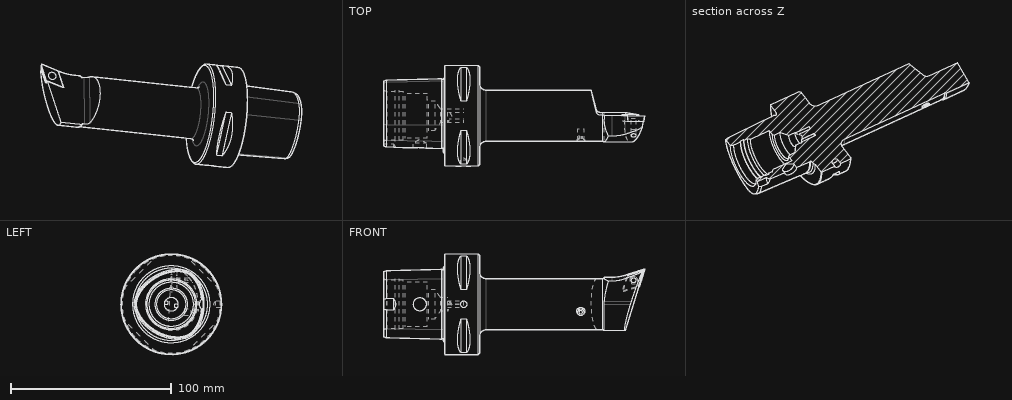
import cadquery as cq
import math


taper_length = 38.0
polygon_radius_front = 21.9
polygon_taper = 1 / 40
lobe_height = 1.3
lobe_half_angle = math.radians(25)
polygon_spline_steps = 8
polygon_tail_chamfer_length = 1.8
polygon_tail_chamfer_depth = 0.6
polygon_full_end_x = -2.0
polygon_front_step = 0.6
flare_start_radius = 22.6
flare_end_radius = 24.1
flare_length = 0.8

mouth_radius = 15.9
mouth_chamfer_width = 0.8
mouth_chamfer_length = 2.0
bore_radius = mouth_radius - mouth_chamfer_width
bore_groove_start = 7.1
bore_groove_width = 2.4
bore_groove_depth = 0.6
bore_depth = 12.0
inner_bore_radius = 13.8
inner_bore_depth = 27.0
feed_radius = 10.1
feed_chamfer = 1.0
feed_depth = 32.0
feed_tip_radius = 4.3
feed_tip_depth = 40.0
channel_radius = 1.2
channel_y = 3.1
channel_z = 0.9
channel_length = 10.0
drill_half_angle = math.radians(59)

key_radius = 4.2
key_length = 6.3
key_axis_y = -21.8
cross_hole_radius = 4.1
cross_hole_from_tail = 22.6
cross_hole_bottom_y = -17.0
flange_hole_radius = 2.0
flange_hole_depth = 4.0

flange_radius = 31.5
flange_width = 22.0
flange_rear_chamfer = 0.4
flange_front_chamfer = 1.0
gripper_x = 12.0
gripper_floor_distance = 27.8
gripper_floor_width = 3.7
gripper_side_angle = math.radians(30)

bar_radius = 16.0
bar_fillet = 4.0
head_start = 98.6

head_radius = 16.5
head_flat_height = 1.7
head_crown_radius = 23.0
head_step = 0.4

tip_x = 125.2
tip_z = 22.2
edge_angle = math.radians(17.5)
insert_edge = 11.6
insert_thickness = 3.7
insert_relief = 7.0
insert_nose_radius = 0.4
insert_overhang = 0.4

head_top_z = 16.85
rise_start_x = 104.6
rise_end_x = 112.5
top_clearance = math.radians(10.5)
end_clearance = math.radians(6)

chip_floor_tilt = 3.1
chip_wall_angle = math.radians(14)
chip_wall_foot_x = 95.1
chip_floor_fillet = 3.0

insert_screw_radius = 1.5
insert_screw_head_radius = 2.4
insert_screw_head_height = 1.6
insert_screw_bottom_y = -8.5
plug_x = 85.0
plug_z = -5.0
plug_radius = 2.0
plug_countersink = 0.5
plug_top_y = -14.2
plug_length = 6.0
plug_socket_across_corners = 2.3
plug_socket_depth = 2.0

cutter_margin = 1.0
clear = 40.0


def revolved(points):
    """Solid of revolution about the tool axis from (x, radius) points."""
    return cq.Workplane("XY").polyline(points).close().revolve(360, (0, 0, 0), (1, 0, 0))


def polygon_wire(x, radius):
    """Three-lobed curve of constant width, split where each lobe meets the flatter flanks."""
    def point(angle):
        support = radius + lobe_height * math.cos(3 * angle)
        slope = -3 * lobe_height * math.sin(3 * angle)
        y = support * math.cos(angle) - slope * math.sin(angle)
        z = support * math.sin(angle) + slope * math.cos(angle)
        return cq.Vector(x, y, z)

    edges = []
    for lobe in range(3):
        lobe_center = lobe * math.radians(120)
        lobe_start = lobe_center - lobe_half_angle
        lobe_end = lobe_center + lobe_half_angle
        next_lobe_start = lobe_start + math.radians(120)
        for start, end in ((lobe_start, lobe_end), (lobe_end, next_lobe_start)):
            step = (end - start) / polygon_spline_steps
            points = [point(start + i * step) for i in range(polygon_spline_steps + 1)]
            edges.append(cq.Edge.makeSpline(points))
    return cq.Wire.assembleEdges(edges)


def polygon_radius(x):
    return polygon_radius_front + x * polygon_taper


def polygon_frustum(x0, radius0, x1, radius1):
    wires = [polygon_wire(x0, radius0), polygon_wire(x1, radius1)]
    return cq.Workplane(cq.Solid.makeLoft(wires, True))


def cone_bottom_drill(radius, length):
    """Drill pointing along +X, shoulder at X = 0 and body reaching back by `length`."""
    return revolved([(-length, 0), (-length, radius), (0, radius), (radius / math.tan(drill_half_angle), 0)])


def side_drill(radius, x, shoulder_y):
    """Cone-ended drill entering from the -Y side."""
    return cone_bottom_drill(radius, clear).rotate((0, 0, 0), (0, 0, 1), 90).translate((x, shoulder_y, 0))


def drawn_prism(outline, drift):
    """XZ outline at Y = 0 swept across the head; `drift` is its (x, z) shift per unit of -Y."""
    wire = outline.close().val()
    sweep = cq.Vector(drift[0], -1, drift[1]) * (2 * clear)
    return cq.Workplane(cq.Solid.extrudeLinear(wire, [], sweep)).translate(sweep * -0.5)



def insert_outline():
    """Rhombus with its 55 degree corner at the tip, on the rake plane Y = 0."""
    along_top = cq.Vector(-math.cos(edge_angle), -math.sin(edge_angle)) * insert_edge
    along_end = cq.Vector(-math.sin(edge_angle), -math.cos(edge_angle)) * insert_edge
    tip = cq.Vector(tip_x, tip_z)
    corners = [tip, tip + along_top, tip + along_top + along_end, tip + along_end]
    return cq.Workplane("XZ").polyline([(c.x, c.y) for c in corners]).close()


def insert_blank():
    return insert_outline().extrude(insert_thickness, taper=insert_relief)


half_diagonal = insert_edge * (math.cos(edge_angle) + math.sin(edge_angle)) / 2
insert_center_x = tip_x - half_diagonal
insert_center_z = tip_z - half_diagonal


def make_insert_screw():
    head_bottom = -insert_screw_head_height
    profile = [
        (0, 0), (insert_screw_head_radius, 0), (insert_screw_radius, head_bottom),
        (insert_screw_radius, insert_screw_bottom_y), (0, insert_screw_bottom_y),
    ]
    screw = cq.Workplane("XY").polyline(profile).close().revolve(360, (0, 0, 0), (0, 1, 0))
    return screw.translate((insert_center_x, 0, insert_center_z))


def make_insert(screw):
    nose = cq.selectors.NearestToPointSelector((tip_x, -insert_thickness / 2, tip_z))
    return insert_blank().edges("not #Y").edges(nose).fillet(insert_nose_radius).cut(screw)



def make_plug():
    plug = cq.Workplane("XZ", origin=(plug_x, plug_top_y, plug_z)).circle(plug_radius).extrude(-plug_length)
    socket = (
        cq.Workplane("XZ", origin=(plug_x, plug_top_y, plug_z))
        .polygon(6, plug_socket_across_corners)
        .extrude(-plug_socket_depth)
    )
    return plug.cut(socket)


def plug_hole():
    bottom_y = plug_top_y + plug_length
    hole = cq.Workplane("XZ", origin=(plug_x, bottom_y, plug_z)).circle(plug_radius).extrude(clear)
    surface_y = -math.sqrt(bar_radius**2 - plug_z**2)
    countersink = cq.Solid.makeCone(
        plug_radius + 2 * plug_countersink, plug_radius, 2 * plug_countersink,
        pnt=cq.Vector(plug_x, surface_y - plug_countersink, plug_z), dir=cq.Vector(0, 1, 0),
    )
    return hole.union(cq.Workplane(countersink))



def coupling():
    tail = -taper_length
    chamfer_end = tail + polygon_tail_chamfer_length
    tail_radius = polygon_radius(tail) - polygon_tail_chamfer_depth
    chamfer_end_radius = polygon_radius(chamfer_end)
    full_radius = polygon_radius(polygon_full_end_x)
    lead = polygon_frustum(tail, tail_radius, chamfer_end, chamfer_end_radius)
    body = polygon_frustum(chamfer_end, chamfer_end_radius, polygon_full_end_x, full_radius)
    relief = polygon_frustum(polygon_full_end_x, full_radius, -flare_length, full_radius - polygon_front_step)
    flare = revolved([
        (-flare_length, 0), (-flare_length, flare_start_radius), (0, flare_end_radius), (0, 0),
    ])
    return body.union(lead).union(relief).union(flare)


def flange_and_bar():
    return (
        cq.Workplane("XY")
        .moveTo(0, 0)
        .lineTo(0, flange_radius - flange_rear_chamfer)
        .lineTo(flange_rear_chamfer, flange_radius)
        .lineTo(flange_width - flange_front_chamfer, flange_radius)
        .lineTo(flange_width, flange_radius - flange_front_chamfer)
        .lineTo(flange_width, bar_radius + bar_fillet)
        .radiusArc((flange_width + bar_fillet, bar_radius), -bar_fillet)
        .lineTo(head_start, bar_radius)
        .lineTo(head_start, 0)
        .close()
        .revolve(360, (0, 0, 0), (1, 0, 0))
    )


def gripper_slots():
    """Four trapezoidal slots cut straight across the flange rim."""
    depth = flange_radius - gripper_floor_distance + cutter_margin
    half_floor = gripper_floor_width / 2
    half_mouth = half_floor + depth * math.tan(gripper_side_angle)
    slot = (
        cq.Workplane("XZ", origin=(gripper_x, flange_radius, gripper_floor_distance))
        .polyline([(-half_floor, 0), (half_floor, 0), (half_mouth, depth), (-half_mouth, depth)])
        .close()
        .extrude(2 * flange_radius)
    )
    slots = cq.Workplane()
    for angle in (45, 135, 225, 315):
        slots = slots.add(slot.rotate((0, 0, 0), (1, 0, 0), angle))
    return slots.combine()


def head_section():
    crown_y = head_crown_radius - head_radius
    crown_z = head_flat_height + head_crown_radius
    return (
        cq.Workplane("YZ", origin=(head_start, 0, 0))
        .moveTo(-head_radius, 0)
        .threePointArc((0, -head_radius), (head_radius, 0))
        .lineTo(crown_y, crown_z)
        .radiusArc((-head_radius, head_flat_height), -head_crown_radius)
        .close()
        .extrude(clear)
    )


def head_shoulder():
    """45 degree cone that leads from the bar up to the larger head."""
    foot_radius = bar_radius - head_step
    return revolved([
        (head_start, 0), (head_start, foot_radius), (head_start + clear, foot_radius + clear),
        (head_start + clear, 0),
    ])


def head_top():
    """Flat top that curves up into the slope beside the cutting edge, leaning away towards -Y."""
    rise_radius = (rise_end_x - rise_start_x) / math.sin(edge_angle)
    rise_end_z = head_top_z + rise_radius * (1 - math.cos(edge_angle))
    end_x = rise_end_x + clear
    outline = (
        cq.Workplane("XZ")
        .moveTo(head_start - cutter_margin, head_top_z)
        .lineTo(rise_start_x, head_top_z)
        .radiusArc((rise_end_x, rise_end_z), -rise_radius)
        .lineTo(end_x, rise_end_z + clear * math.tan(edge_angle))
        .lineTo(end_x, -clear)
        .lineTo(head_start - cutter_margin, -clear)
    )
    return drawn_prism(outline, (0, -math.tan(top_clearance)))


def head_end():
    """Sloping end just behind the insert, leaning away towards -Y."""
    def end_x(z):
        return tip_x - insert_overhang / math.cos(edge_angle) + (z - tip_z) * math.tan(edge_angle)

    outline = cq.Workplane("XZ").polyline([
        (0, -clear), (end_x(-clear), -clear), (end_x(clear), clear), (0, clear),
    ])
    return drawn_prism(outline, (-math.tan(end_clearance) / math.cos(edge_angle), 0))


def chip_clearance():
    """Step down to the rake side, its floor tilted about the level of the tip."""
    wall_top_x = chip_wall_foot_x - clear * math.tan(chip_wall_angle)
    end_x = tip_x + clear
    return (
        cq.Workplane("XY", origin=(0, 0, -3 * clear))
        .polyline([(chip_wall_foot_x, 0), (end_x, 0), (end_x, clear), (wall_top_x, clear)])
        .close()
        .extrude(5 * clear)
        .edges(cq.selectors.NearestToPointSelector((chip_wall_foot_x, 0, -clear / 2)))
        .fillet(chip_floor_fillet)
        .rotate((0, 0, tip_z), (1, 0, tip_z), chip_floor_tilt)
    )


def coupling_bore():
    tail = -taper_length
    groove_start = tail + bore_groove_start
    groove_end = groove_start + bore_groove_width
    step = bore_radius - inner_bore_radius
    tip_end = tail + feed_tip_depth + feed_tip_radius / math.tan(drill_half_angle)
    cone_start = tail + feed_depth
    cone_end = cone_start + (feed_radius - feed_tip_radius) / math.tan(drill_half_angle)
    return revolved([
        (tail, 0),
        (tail, mouth_radius),
        (tail + mouth_chamfer_length, bore_radius),
        (groove_start, bore_radius),
        (groove_start, bore_radius + bore_groove_depth),
        (groove_end, bore_radius + bore_groove_depth),
        (groove_end, bore_radius),
        (tail + bore_depth, bore_radius),
        (tail + bore_depth + step, inner_bore_radius),
        (tail + inner_bore_depth, inner_bore_radius),
        (tail + inner_bore_depth, feed_radius),
        (tail + inner_bore_depth + feed_chamfer, feed_radius - feed_chamfer),
        (cone_start, feed_radius - feed_chamfer),
        (cone_end, feed_tip_radius),
        (tail + feed_tip_depth, feed_tip_radius),
        (tip_end, 0),
    ])


def coolant_channels():
    """Two blind channels that leave the drill point at the bottom of the bore."""
    centers = [(channel_y, channel_z), (-channel_y, -channel_z)]
    start_x = feed_tip_depth - taper_length
    return (
        cq.Workplane("YZ", origin=(start_x, 0, 0))
        .pushPoints(centers)
        .circle(channel_radius)
        .extrude(channel_length)
    )


def insert_pocket():
    """Seat of the insert, open towards the rake side."""
    return insert_blank().union(insert_outline().extrude(-clear))


def insert_screw_hole():
    return (
        cq.Workplane("XZ", origin=(insert_center_x, 0, insert_center_z))
        .circle(insert_screw_radius)
        .extrude(clear)
    )


def make_holder():
    head = head_section().intersect(head_shoulder()).intersect(head_top()).intersect(head_end())
    holder = coupling().union(flange_and_bar()).union(head)
    key_slot = cone_bottom_drill(key_radius, clear).translate((key_length - taper_length, key_axis_y, 0))
    cross_hole_x = cross_hole_from_tail - taper_length
    cutters = [
        chip_clearance(),
        gripper_slots(),
        coupling_bore(),
        coolant_channels(),
        key_slot,
        side_drill(cross_hole_radius, cross_hole_x, cross_hole_bottom_y),
        side_drill(flange_hole_radius, gripper_x, flange_hole_depth - flange_radius),
        insert_pocket(),
        insert_screw_hole(),
        plug_hole(),
    ]
    for cutter in cutters:
        holder = holder.cut(cutter)
    return holder


holder = make_holder()
insert_screw = make_insert_screw()
insert = make_insert(insert_screw)
plug = make_plug()

result = cq.Compound.makeCompound([holder.val(), insert.val(), insert_screw.val(), plug.val()])